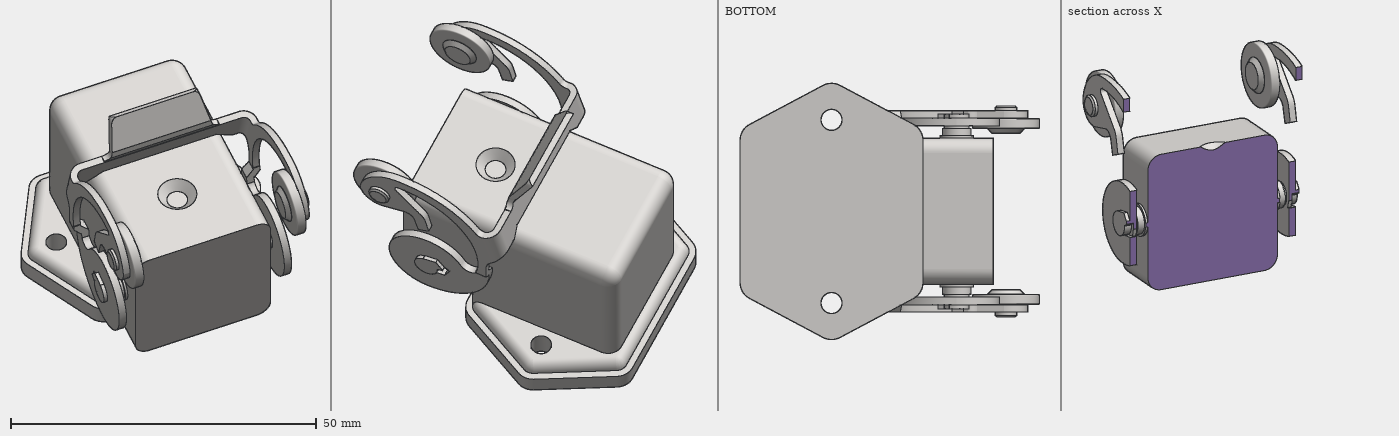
import cadquery as cq
import math

BASE_HALF_LENGTH = 15.0
BASE_HALF_WIDTH = 21.0
BASE_EDGE_ANGLE = 28.0
BASE_CORNER_RADIUS = 3.0
BASE_THICKNESS = 3.4
STEP_INSET = 1.1
STEP_HEIGHT = 1.5
STEP_FILLET = 1.8
SCREW_HOLE_OFFSET = 15.0
SCREW_HOLE_DIAMETER = 3.4

BODY_FRONT_X = -12.0
BODY_REAR_X = 26.5
BODY_HALF_WIDTH = 12.0
BODY_TOP_Z = 28.4
BODY_FILLET = 2.5
OVERHANG_START_X = BASE_HALF_LENGTH - STEP_INSET
OVERHANG_BOTTOM_Z = 4.6
RECESS_X = 15.5
RECESS_TOP_DIAMETER = 6.4
RECESS_FLOOR_DIAMETER = 3.4
RECESS_DEPTH = (RECESS_TOP_DIAMETER - RECESS_FLOOR_DIAMETER) / 2

SHEET = 1.2
ARM_OUTER_Y = 16.5
ARM_INNER_Y = ARM_OUTER_Y - SHEET
DISC_INNER_Y = 14.0
PIVOT_X = 20.5
PIVOT_Z = 16.45
DISC_RADIUS = 7.0
SPIRAL_RADIUS = 11.2
NOTCH_RADIUS = 1.7
NOTCH_ANGLE = 150.0
NOTCH_END_ANGLE = 219.0
NECK_LEFT_X = PIVOT_X - SPIRAL_RADIUS
NECK_RIGHT_X = 11.1
NECK_TOP_Z = 22.6
JOG_OUTER_TOP_Z = 21.85

BAR_TILT = 15.0
BAR_TOP_X = 7.78
BAR_TOP_Z = 34.3
BAR_OUTER_LENGTH = 5.45
BAR_BEND_LENGTH = 6.85
BAR_BEND_RADIUS = 2.35
BAR_ARCH_HALF_WIDTH = 10.0
BAR_ARCH_TOP_Z = 30.5
BAR_ARCH_FOOT_Y = 13.1
BAR_ARCH_FOOT_Z = 28.1
TAB_THICKNESS = 1.1
TAB_LEAN_LENGTH = 0.75
TAB_BEND_Z = 35.85
TAB_TILT = 29.0
TAB_TOP_Z = 41.02
TAB_BASE_HALF_WIDTH = 8.8
TAB_TOP_HALF_WIDTH = 7.7
TAB_CORNER_RADIUS = 1.2
TAB_COVE_RADIUS = 1.4

PIVOT_FLANGE_RADIUS = 2.75
PIVOT_FLANGE_Y = 12.4
PIVOT_EMBED = 1.0
PIVOT_BOSS_RADIUS = 2.35
PIVOT_BOSS_Y = 13.6
PIVOT_PIN_RADIUS = 2.05
PIVOT_HEAD_Y = 15.95

ROLLER_X = 28.57
ROLLER_Z = 34.5
ROLLER_RADIUS = 5.5
ROLLER_INNER_Y = 13.6
ROLLER_OUTER_Y = 15.2
ROLLER_EDGE = 0.2
ROLLER_HUB_RADIUS = 3.05
ROLLER_HUB_TIP_RADIUS = 2.3
ROLLER_HUB_Y = 12.8
ROLLER_PIN_RADIUS = 1.8
ROLLER_PIN_Y = 17.3
ROLLER_PIN_CHAMFER = 0.3

CUT_SIZE = 60.0


def polar(center, radius, degrees):
    """Point on a circle in the XZ plane."""
    angle = math.radians(degrees)
    return center[0] + radius * math.cos(angle), center[1] + radius * math.sin(angle)


def extrude_xz(sketch, near_y, far_y):
    """Extrude the XZ outline drawn by sketch(workplane) from near_y to far_y."""
    workplane = cq.Workplane("XZ").workplane(offset=-near_y)
    return sketch(workplane).extrude(near_y - far_y)


def disc(x, z, radius, near_y, far_y):
    return extrude_xz(lambda plane: plane.center(x, z).circle(radius), near_y, far_y)



def hexagon_prism(inset, bottom_z, height):
    """Flange hexagon, shrunk evenly by inset, with its corners rounded."""
    angle = math.radians(BASE_EDGE_ANGLE)
    tip_round_loss = BASE_CORNER_RADIUS * (1 / math.cos(angle) - 1)
    half_length = BASE_HALF_LENGTH - inset
    tip_y = BASE_HALF_WIDTH + tip_round_loss - inset / math.cos(angle)
    side_y = tip_y - half_length * math.tan(angle)
    points = [
        (half_length, side_y),
        (0, tip_y),
        (-half_length, side_y),
        (-half_length, -side_y),
        (0, -tip_y),
        (half_length, -side_y),
    ]
    prism = cq.Workplane("XY").workplane(offset=bottom_z).polyline(points).close().extrude(height)
    return prism.edges("|Z").fillet(BASE_CORNER_RADIUS - inset)


def make_flange():
    step = hexagon_prism(STEP_INSET, 0, BASE_THICKNESS + STEP_HEIGHT)
    step = step.faces(">Z").edges().fillet(STEP_FILLET)
    return hexagon_prism(0, 0, BASE_THICKNESS).union(step)


def make_hood():
    length = BODY_REAR_X - BODY_FRONT_X
    hood = (
        cq.Workplane("XY")
        .box(length, 2 * BODY_HALF_WIDTH, BODY_TOP_Z, centered=(False, True, False))
        .translate((BODY_FRONT_X, 0, 0))
    )
    hood = hood.edges("(|Z and <X) or (|Y and <X and >Z) or (|X and >Z)").fillet(BODY_FILLET)
    overhang_length = BODY_REAR_X - OVERHANG_START_X
    below = (
        cq.Workplane("XY")
        .box(overhang_length, 2 * BODY_HALF_WIDTH, BODY_TOP_Z, centered=(False, True, False))
        .translate((OVERHANG_START_X, 0, 0))
    )
    rounded = below.translate((0, 0, OVERHANG_BOTTOM_Z)).edges("|X and <Z").fillet(BODY_FILLET)
    return hood.cut(below.cut(rounded))


def make_recess():
    """Conical, flat-bottomed recess in the top of the hood."""
    return (
        cq.Workplane("XY")
        .workplane(offset=BODY_TOP_Z - RECESS_DEPTH)
        .center(RECESS_X, 0)
        .circle(RECESS_FLOOR_DIAMETER / 2)
        .workplane(offset=RECESS_DEPTH)
        .circle(RECESS_TOP_DIAMETER / 2)
        .loft()
    )


def make_housing():
    screw_holes = (
        cq.Workplane("XY")
        .pushPoints([(0, SCREW_HOLE_OFFSET), (0, -SCREW_HOLE_OFFSET)])
        .circle(SCREW_HOLE_DIAMETER / 2)
        .extrude(BASE_THICKNESS + STEP_HEIGHT)
    )
    return make_flange().cut(screw_holes).union(make_hood()).cut(make_recess())



PIVOT = (PIVOT_X, PIVOT_Z)
SPIRAL_CENTER = (PIVOT_X, PIVOT_Z - DISC_RADIUS + SPIRAL_RADIUS)
NOTCH_CENTER = polar(PIVOT, DISC_RADIUS + NOTCH_RADIUS, NOTCH_ANGLE)
NECK_BOTTOM_LEFT = polar(SPIRAL_CENTER, SPIRAL_RADIUS, 180)
NECK_BOTTOM_RIGHT = polar(NOTCH_CENTER, NOTCH_RADIUS, NOTCH_END_ANGLE)


def draw_disc(plane):
    """Pivot disc with the widening lobe that leads into the neck."""
    notch_start_angle = NOTCH_ANGLE + 180
    notch_middle_angle = (notch_start_angle + NOTCH_END_ANGLE) / 2
    return (
        plane.moveTo(*NECK_BOTTOM_LEFT)
        .threePointArc(
            polar(SPIRAL_CENTER, SPIRAL_RADIUS, 225), polar(SPIRAL_CENTER, SPIRAL_RADIUS, 270)
        )
        .threePointArc(
            polar(PIVOT, DISC_RADIUS, 0), polar(PIVOT, DISC_RADIUS, NOTCH_ANGLE)
        )
        .threePointArc(
            polar(NOTCH_CENTER, NOTCH_RADIUS, notch_middle_angle), NECK_BOTTOM_RIGHT
        )
        .close()
    )


def draw_neck(plane):
    return plane.polyline(
        [
            NECK_BOTTOM_LEFT,
            NECK_BOTTOM_RIGHT,
            (NECK_RIGHT_X, NECK_TOP_Z),
            (NECK_LEFT_X, NECK_TOP_Z),
        ]
    ).close()


def bar_point(depth, drop):
    """XZ point at a depth behind the bar's outer face and a distance down from its top edge."""
    tilt = math.radians(BAR_TILT)
    x = BAR_TOP_X + depth * math.cos(tilt) - drop * math.sin(tilt)
    z = BAR_TOP_Z - depth * math.sin(tilt) - drop * math.cos(tilt)
    return x, z


CRESCENT_OUTER_CENTER = (24.2, 24.1)
CRESCENT_OUTER_RADIUS = 16.47
CRESCENT_OUTER_START = 142.0
CRESCENT_INNER_CENTER = (24.32, 25.05)
CRESCENT_INNER_RADIUS = 13.55
CRESCENT_INNER_START = 192.0
CRESCENT_INNER_END = 86.7
HEAD_TOP_RADIUS = 7.0
HEAD_TOP_CENTER = (25.2, CRESCENT_OUTER_CENTER[1] + CRESCENT_OUTER_RADIUS - HEAD_TOP_RADIUS)
HEAD_LOW_RADIUS = 3.6
HEAD_LOW_END = -95.0
NECK_CURVE_START = (NECK_LEFT_X, 24.85)
NECK_CURVE_MIDDLE = (9.0, 25.95)
SHOULDER_MIDDLE = (10.6, 33.75)
HOOK_COVE_START = (23.9, 31.95)
HOOK_COVE_MIDDLE = (22.95, 31.65)
HOOK_COVE_END = (22.36, 30.9)
HOOK_TIP_LOW = (21.6, 28.1)
HOOK_TIP_HIGH = (19.7, 28.9)
HOOK_BEND_START = (20.3, 31.5)
HOOK_BEND_MIDDLE = (20.6, 32.3)
HOOK_BEND_END = (21.15, 33.0)
SLOT_TIP_START = (25.75, 37.55)
SLOT_TIP_MIDDLE = (25.8, 38.25)


def draw_arm(plane):
    roller = (ROLLER_X, ROLLER_Z)
    slot_tip_end = polar(CRESCENT_INNER_CENTER, CRESCENT_INNER_RADIUS, CRESCENT_INNER_END)
    outer_middle_angle = (CRESCENT_OUTER_START + 90) / 2
    inner_middle_angle = (CRESCENT_INNER_START + CRESCENT_INNER_END) / 2
    neck_right = polar(CRESCENT_INNER_CENTER, CRESCENT_INNER_RADIUS, CRESCENT_INNER_START)
    return (
        plane.moveTo(NECK_LEFT_X, NECK_TOP_Z)
        .lineTo(*NECK_CURVE_START)
        .threePointArc(NECK_CURVE_MIDDLE, bar_point(BAR_BEND_RADIUS, BAR_BEND_LENGTH))
        .lineTo(*bar_point(BAR_BEND_RADIUS, 0))
        .threePointArc(
            SHOULDER_MIDDLE,
            polar(CRESCENT_OUTER_CENTER, CRESCENT_OUTER_RADIUS, CRESCENT_OUTER_START),
        )
        .threePointArc(
            polar(CRESCENT_OUTER_CENTER, CRESCENT_OUTER_RADIUS, outer_middle_angle),
            polar(CRESCENT_OUTER_CENTER, CRESCENT_OUTER_RADIUS, 90),
        )
        .lineTo(*polar(HEAD_TOP_CENTER, HEAD_TOP_RADIUS, 90))
        .threePointArc(
            polar(HEAD_TOP_CENTER, HEAD_TOP_RADIUS, 45), polar(roller, HEAD_LOW_RADIUS, 0)
        )
        .threePointArc(
            polar(roller, HEAD_LOW_RADIUS, HEAD_LOW_END / 2), polar(roller, HEAD_LOW_RADIUS, HEAD_LOW_END)
        )
        .lineTo(*HOOK_COVE_START)
        .threePointArc(HOOK_COVE_MIDDLE, HOOK_COVE_END)
        .lineTo(*HOOK_TIP_LOW)
        .lineTo(*HOOK_TIP_HIGH)
        .lineTo(*HOOK_BEND_START)
        .threePointArc(HOOK_BEND_MIDDLE, HOOK_BEND_END)
        .lineTo(*SLOT_TIP_START)
        .threePointArc(SLOT_TIP_MIDDLE, slot_tip_end)
        .threePointArc(
            polar(CRESCENT_INNER_CENTER, CRESCENT_INNER_RADIUS, inner_middle_angle), neck_right
        )
        .close()
    )


def make_jog():
    """Sloped sheet that steps the arm inwards to the plane of the pivot disc."""
    shift = ARM_INNER_Y - DISC_INNER_Y
    lift = SHEET * (math.sqrt(2) - 1)
    profile = (
        cq.Workplane("YZ")
        .polyline(
            [
                (ARM_OUTER_Y, NECK_TOP_Z),
                (ARM_OUTER_Y, JOG_OUTER_TOP_Z),
                (ARM_INNER_Y, JOG_OUTER_TOP_Z - shift),
                (ARM_INNER_Y, PIVOT_Z),
                (DISC_INNER_Y, PIVOT_Z),
                (DISC_INNER_Y, JOG_OUTER_TOP_Z - shift + lift),
                (ARM_INNER_Y, JOG_OUTER_TOP_Z + lift),
                (ARM_INNER_Y, NECK_TOP_Z),
            ]
        )
        .close()
        .extrude(PIVOT_X)
    )
    return profile.intersect(extrude_xz(draw_neck, DISC_INNER_Y, ARM_OUTER_Y))


def make_crossbar():
    """Tilted U-shaped strip between the arms, arched underneath."""
    strip = (
        cq.Workplane("XY")
        .box(2 * BAR_BEND_RADIUS, 2 * ARM_OUTER_Y, BAR_BEND_LENGTH, centered=(False, True, False))
        .edges("|Z and <X")
        .fillet(BAR_BEND_RADIUS)
    )
    inside = (
        cq.Workplane("XY")
        .box(2 * BAR_BEND_RADIUS, 2 * ARM_INNER_Y, BAR_BEND_LENGTH, centered=(False, True, False))
        .edges("|Z and <X")
        .fillet(BAR_BEND_RADIUS - SHEET)
        .translate((SHEET, 0, 0))
    )
    strip = (
        strip.cut(inside)
        .translate((0, 0, -BAR_BEND_LENGTH))
        .rotate((0, 0, 0), (0, 1, 0), BAR_TILT)
        .translate((BAR_TOP_X, 0, BAR_TOP_Z))
    )
    side_outline = [
        bar_point(0, 0),
        bar_point(BAR_BEND_RADIUS, 0),
        bar_point(BAR_BEND_RADIUS, BAR_BEND_LENGTH),
        bar_point(0, BAR_OUTER_LENGTH),
    ]
    envelope = extrude_xz(lambda plane: plane.polyline(side_outline).close(), -ARM_OUTER_Y, ARM_OUTER_Y)
    arch = (
        cq.Workplane("YZ")
        .polyline(
            [
                (-BAR_ARCH_FOOT_Y, 0),
                (-BAR_ARCH_FOOT_Y, BAR_ARCH_FOOT_Z),
                (-BAR_ARCH_HALF_WIDTH, BAR_ARCH_TOP_Z),
                (BAR_ARCH_HALF_WIDTH, BAR_ARCH_TOP_Z),
                (BAR_ARCH_FOOT_Y, BAR_ARCH_FOOT_Z),
                (BAR_ARCH_FOOT_Y, 0),
            ]
        )
        .close()
        .extrude(CUT_SIZE)
    )
    return strip.intersect(envelope).cut(arch)


def make_tab():
    """Finger tab that continues the crossbar upwards, then bends towards the front."""
    tilt = math.radians(TAB_TILT)
    rear_x = BAR_TOP_X + TAB_THICKNESS
    rise = TAB_TOP_Z - TAB_BEND_Z
    top_rear_x = rear_x - rise * math.tan(tilt)
    top_front_x = top_rear_x - TAB_THICKNESS * math.cos(tilt)
    top_front_z = TAB_TOP_Z - TAB_THICKNESS * math.sin(tilt)
    bend_front_z = TAB_BEND_Z - TAB_THICKNESS * math.tan(tilt / 2)
    side_outline = [
        bar_point(0, SHEET),
        bar_point(TAB_THICKNESS, SHEET),
        bar_point(TAB_THICKNESS, -TAB_LEAN_LENGTH),
        (rear_x, TAB_BEND_Z),
        (top_rear_x, TAB_TOP_Z),
        (top_front_x, top_front_z),
        (BAR_TOP_X, bend_front_z),
        bar_point(0, -TAB_LEAN_LENGTH),
    ]
    sheet = extrude_xz(lambda plane: plane.polyline(side_outline).close(), -ARM_OUTER_Y, ARM_OUTER_Y)
    foot_half_width = TAB_BASE_HALF_WIDTH + TAB_COVE_RADIUS
    cove_top_z = BAR_TOP_Z + TAB_COVE_RADIUS
    cove_offset = TAB_COVE_RADIUS * (1 - math.sqrt(0.5))
    face = (
        cq.Workplane("YZ")
        .moveTo(-foot_half_width, BAR_TOP_Z)
        .threePointArc(
            (-TAB_BASE_HALF_WIDTH - cove_offset, BAR_TOP_Z + cove_offset),
            (-TAB_BASE_HALF_WIDTH, cove_top_z),
        )
        .lineTo(-TAB_TOP_HALF_WIDTH, TAB_TOP_Z)
        .lineTo(TAB_TOP_HALF_WIDTH, TAB_TOP_Z)
        .lineTo(TAB_BASE_HALF_WIDTH, cove_top_z)
        .threePointArc(
            (TAB_BASE_HALF_WIDTH + cove_offset, BAR_TOP_Z + cove_offset),
            (foot_half_width, BAR_TOP_Z),
        )
        .lineTo(foot_half_width, BAR_ARCH_TOP_Z)
        .lineTo(-foot_half_width, BAR_ARCH_TOP_Z)
        .close()
        .extrude(CUT_SIZE)
    )
    face = face.edges("|X and >Z").fillet(TAB_CORNER_RADIUS)
    return sheet.intersect(face)


HEAD_KEY = [(0, 0), (0.5, PIVOT_PIN_RADIUS), (-1.83, 2.45), (-3.06, 0.9), (-2.1, 0.35), (-1.2, -1.7)]
LEVER_NOTCH = [(0, 0), (-3.06, 0.9), (-3.98, 0.16), (-3.1, -1.6), (-1.0, -1.85)]
NOTCH_LEDGE = [(0, 0), (-3.06, 0.9), (-2.35, -1.8), (-1.0, -1.85)]


def pivot_prism(offsets, near_y, far_y):
    points = [(PIVOT_X + dx, PIVOT_Z + dz) for dx, dz in offsets]
    return extrude_xz(lambda plane: plane.polyline(points).close(), near_y, far_y)


def make_pivot():
    middle_y = (ARM_INNER_Y + DISC_INNER_Y) / 2
    inside_body_y = BODY_HALF_WIDTH - PIVOT_EMBED
    return (
        disc(*PIVOT, PIVOT_FLANGE_RADIUS, inside_body_y, PIVOT_FLANGE_Y)
        .union(disc(*PIVOT, PIVOT_BOSS_RADIUS, inside_body_y, PIVOT_BOSS_Y))
        .union(disc(*PIVOT, PIVOT_PIN_RADIUS, inside_body_y, PIVOT_HEAD_Y))
        .union(pivot_prism(HEAD_KEY, DISC_INNER_Y, PIVOT_HEAD_Y))
        .union(pivot_prism(NOTCH_LEDGE, DISC_INNER_Y, middle_y))
    )


def make_roller():
    position = (ROLLER_X, ROLLER_Z)
    wheel = disc(*position, ROLLER_RADIUS, ROLLER_INNER_Y, ROLLER_OUTER_Y)
    wheel = wheel.edges().fillet(ROLLER_EDGE)
    hub = disc(*position, ROLLER_HUB_RADIUS, ROLLER_HUB_Y, ROLLER_OUTER_Y)
    hub = hub.faces("<Y").chamfer(ROLLER_HUB_RADIUS - ROLLER_HUB_TIP_RADIUS)
    pin = disc(*position, ROLLER_PIN_RADIUS, ROLLER_INNER_Y, ROLLER_PIN_Y)
    pin = pin.faces(">Y").chamfer(ROLLER_PIN_CHAMFER)
    return wheel.union(hub).union(pin)


def make_side():
    """Everything of the lever on the +Y side, with its pivot and roller."""
    plate = extrude_xz(draw_disc, DISC_INNER_Y, ARM_INNER_Y)
    plate = plate.cut(pivot_prism(LEVER_NOTCH, DISC_INNER_Y, ARM_INNER_Y))
    arm = extrude_xz(draw_arm, ARM_INNER_Y, ARM_OUTER_Y)
    return plate.union(make_jog()).union(arm).union(make_pivot()).union(make_roller())


side = make_side()
lever = make_crossbar().union(make_tab()).union(side).union(side.mirror("XZ"))
result = make_housing().union(lever)